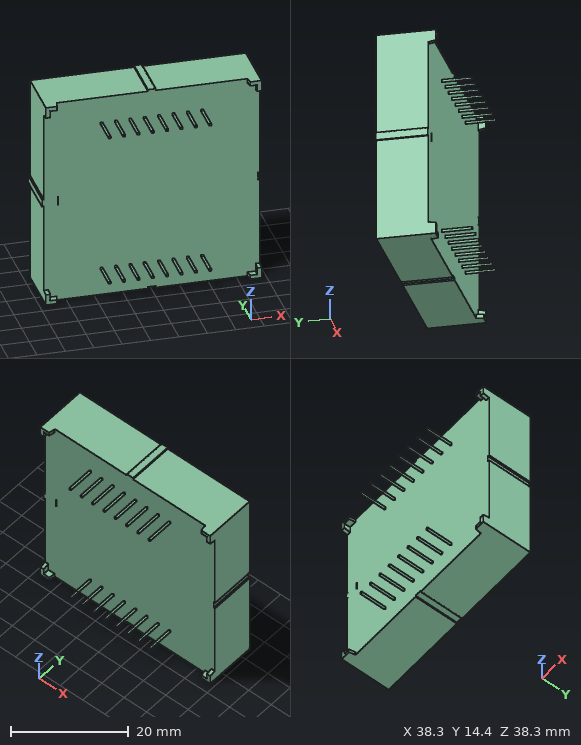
import cadquery as cq

body_side = 38.0
body_depth = 9.1

ridge_height = 0.3
ridge_width = 1.38

foot_height = 1.25
foot_base_arm = 2.22
foot_tip_arm = 2.0
foot_thickness = 0.75

pin_diameter = 0.45
pin_length = 5.3
pins_per_row = 8
pin_pitch = 2.53
row_spacing = 27.95

mark_width = 0.1
mark_height = 1.5
mark_depth = 0.1
mark_inset = 2.5
mark_rise = 0.1

half_side = body_side / 2


def block(x_range, y_range, z_range):
    """Box spanning the given (low, high) ranges."""
    ranges = (x_range, y_range, z_range)
    sizes = [high - low for low, high in ranges]
    corner = cq.Vector(*[low for low, high in ranges])
    return cq.Workplane("XY").box(*sizes, centered=False).translate(corner)


def foot_wall():
    """Wall along the +Z edge at the +X corner, its free end sloping so the tip is shorter than the base."""
    base_end = half_side - foot_base_arm
    tip_end = half_side - foot_tip_arm
    return (
        cq.Workplane("XY", origin=(0, 0, half_side - foot_thickness))
        .moveTo(half_side, 0)
        .lineTo(half_side, -foot_height)
        .lineTo(tip_end, -foot_height)
        .lineTo(base_end, 0)
        .close()
        .extrude(foot_thickness)
    )


def corner_foot():
    """Foot in the +X +Z corner: one wall and its mirror image across the corner diagonal."""
    wall = foot_wall()
    other_wall = wall.rotate((0, 0, 0), (0, 1, 0), 90).mirror("XY")
    return wall.union(other_wall)


def pin(x, z):
    """Round pin standing on the mounting face."""
    return cq.Workplane("XZ", origin=(x, 0, z)).circle(pin_diameter / 2).extrude(pin_length)


full_depth = (0, body_depth)
across_body = (-half_side, half_side)
ridge_span = (-ridge_width / 2, ridge_width / 2)
ridge_rise = (half_side, half_side + ridge_height)
ridge_rise_left = (-half_side - ridge_height, -half_side)
groove_right = (half_side - ridge_height, half_side)
groove_bottom = (-half_side, -half_side + ridge_height)

result = block(across_body, full_depth, across_body)
result = result.union(block(ridge_rise_left, full_depth, ridge_span))
result = result.union(block(ridge_span, full_depth, ridge_rise))
result = result.cut(block(groove_right, full_depth, ridge_span))
result = result.cut(block(ridge_span, full_depth, groove_bottom))

mark_x = -half_side + mark_inset
mark = block(
    (mark_x - mark_width / 2, mark_x + mark_width / 2),
    (0, mark_depth),
    (mark_rise - mark_height / 2, mark_rise + mark_height / 2),
)
result = result.cut(mark)

for quarter_turn in range(4):
    result = result.union(corner_foot().rotate((0, 0, 0), (0, 1, 0), 90 * quarter_turn))

for row_z in (-row_spacing / 2, row_spacing / 2):
    for index in range(pins_per_row):
        pin_x = (index - (pins_per_row - 1) / 2) * pin_pitch
        result = result.union(pin(pin_x, row_z))